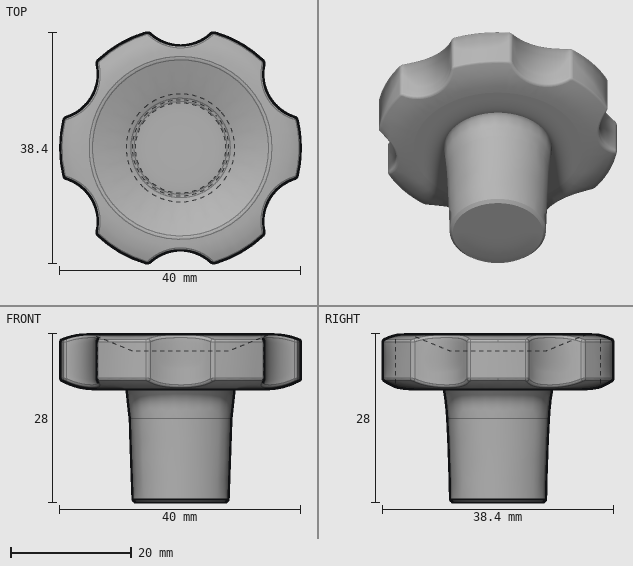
import cadquery as cq
import math

total_height = 28.0
head_radius = 20.0
head_bottom_z = 18.8

dish_rim_radius = 14.9
dish_floor_radius = 8.0
dish_depth = 2.8
dish_blend_radius = 1.5
dish_slope = math.atan2(dish_depth, dish_rim_radius - dish_floor_radius)
dish_blend_run = dish_blend_radius * math.tan(dish_slope / 2)

crown_radius = 12.0
top_crown_start = dish_rim_radius + dish_blend_run
bottom_crown_start = 14.0

scallop_count = 6
scallop_radius = 7.45
scallop_centre_radius = 24.5
first_scallop_angle = 30.0
corner_round = 0.8
edge_round = 0.5

stem_chamfer = 0.5
stem_radius = 8.0
stem_draft = math.radians(2.0)
flare_start_z = 14.0
flare_start_radius = stem_radius + (flare_start_z - stem_chamfer) * math.tan(stem_draft)
flare_top_radius = 9.0


def revolve_about_z(profile):
    """Turn a closed radius-height profile into a solid of revolution."""
    return profile.close().revolve(360, (0, 0), (0, 1))


def crown_drop(start_radius, radius):
    """Fall of a crown at the given radius, below the flat it leaves at start_radius."""
    return crown_radius - math.sqrt(crown_radius**2 - (radius - start_radius) ** 2)


def make_head():
    """Disc with a flat-centred crown above and below."""
    bottom_corner_z = head_bottom_z + crown_drop(bottom_crown_start, head_radius)
    top_corner_z = total_height - crown_drop(top_crown_start, head_radius)
    top_mid_radius = (top_crown_start + head_radius) / 2
    top_mid_z = total_height - crown_drop(top_crown_start, top_mid_radius)
    profile = (
        cq.Workplane("XZ")
        .moveTo(0, head_bottom_z)
        .lineTo(bottom_crown_start, head_bottom_z)
        .tangentArcPoint((head_radius, bottom_corner_z), relative=False)
        .lineTo(head_radius, top_corner_z)
        .threePointArc((top_mid_radius, top_mid_z), (top_crown_start, total_height))
        .lineTo(0, total_height)
    )
    return revolve_about_z(profile)


def cut_scallops(head):
    """Cut the finger scallops and round every edge of the grip."""
    scallops = (
        cq.Workplane("XY")
        .polarArray(scallop_centre_radius, first_scallop_angle, 360, scallop_count)
        .circle(scallop_radius)
        .extrude(total_height)
    )
    grip = head.cut(scallops).edges("|Z").fillet(corner_round)
    return grip.faces("%TORUS").edges("not(<Z or >Z)").fillet(edge_round)


def make_dish():
    """Conical recess whose floor and rim are blended by tangent arcs."""
    floor_z = total_height - dish_depth
    slope_run = dish_blend_run * math.cos(dish_slope)
    slope_rise = dish_blend_run * math.sin(dish_slope)
    profile = (
        cq.Workplane("XZ")
        .moveTo(0, floor_z)
        .lineTo(dish_floor_radius - dish_blend_run, floor_z)
        .tangentArcPoint((dish_floor_radius + slope_run, floor_z + slope_rise), relative=False)
        .lineTo(dish_rim_radius - slope_run, total_height - slope_rise)
        .tangentArcPoint((top_crown_start, total_height), relative=False)
        .lineTo(0, total_height)
    )
    return revolve_about_z(profile)


def make_stem():
    """Drafted stem with a chamfered end and a flare into the head."""
    profile = (
        cq.Workplane("XZ")
        .lineTo(stem_radius - stem_chamfer, 0)
        .lineTo(stem_radius, stem_chamfer)
        .lineTo(flare_start_radius, flare_start_z)
        .lineTo(flare_top_radius, head_bottom_z)
        .lineTo(0, head_bottom_z)
    )
    return revolve_about_z(profile)


head = cut_scallops(make_head()).cut(make_dish())
result = head.union(make_stem())